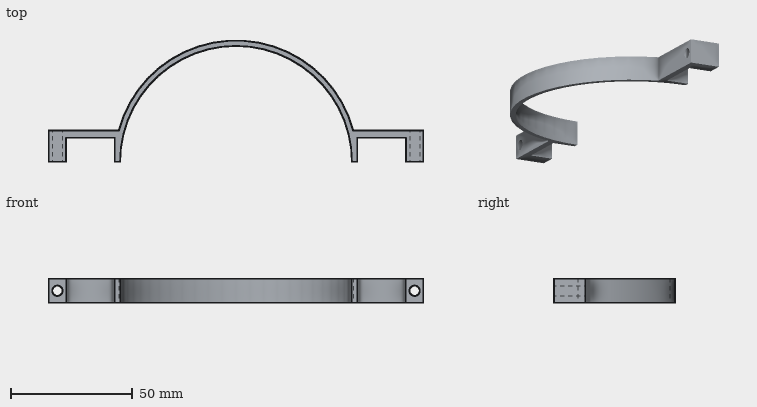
import cadquery as cq

length = 154.5
height = 10.0
outer_radius = 50.0
wall = 2.3
inner_radius = outer_radius - wall

arm_back = 13.0
arm_thickness = 3.1
block_width = 7.3
hole_diameter = 4.2

half_length = length / 2
block_center = half_length - block_width / 2


def box(x_start, x_end, y_start, y_end):
    """Full-height block between the given X and Y limits."""
    return (
        cq.Workplane("XY")
        .box(x_end - x_start, y_end - y_start, height, centered=False)
        .translate((x_start, y_start, 0))
    )


def half_disc(radius):
    """Full-height half cylinder on the +Y side of the strap axis."""
    return (
        cq.Workplane("XY")
        .moveTo(-radius, 0)
        .threePointArc((0, radius), (radius, 0))
        .close()
        .extrude(height)
    )


def right_arm():
    """Arm with a drilled end block and a foot that squares off the strap end."""
    foot = box(inner_radius, outer_radius, 0, arm_back - arm_thickness)
    bar = box(inner_radius, half_length, arm_back - arm_thickness, arm_back)
    block = box(half_length - block_width, half_length, 0, arm_back)
    hole = (
        cq.Workplane("XZ")
        .center(block_center, height / 2)
        .circle(hole_diameter / 2)
        .extrude(-arm_back)
    )
    return bar.union(foot).union(block).cut(hole)


arm = right_arm()
result = (
    half_disc(outer_radius)
    .union(arm)
    .union(arm.mirror("YZ"))
    .cut(half_disc(inner_radius))
)